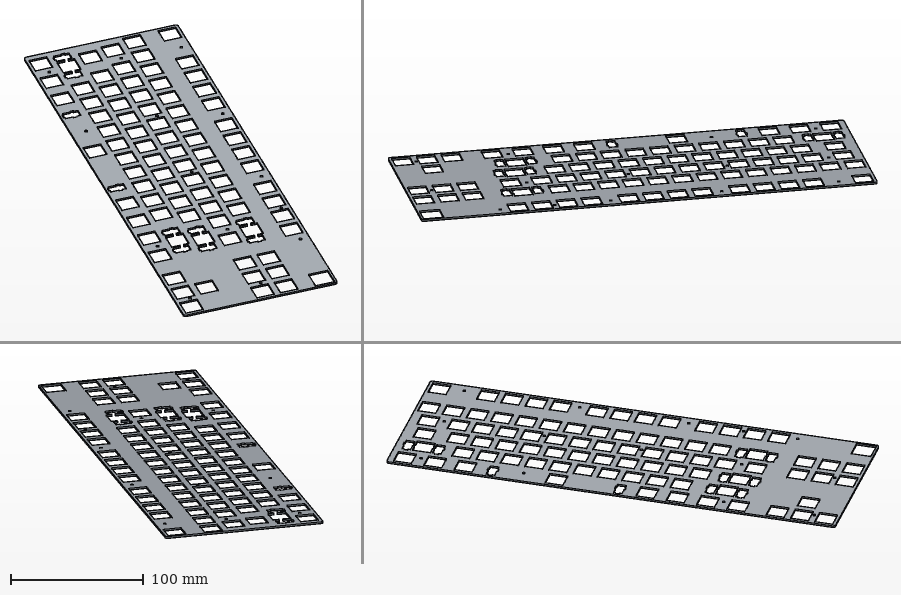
import cadquery as cq

plate_length = 351.5
plate_thickness = 1.5
corner_radius = 2.0

plate_columns = 18.5
plate_rows = 6.5
pitch = plate_length / plate_columns
plate_width = plate_rows * pitch

switch_size = 14.0

corner_opening_size = 15.5

stabilizer_width = 6.7
stabilizer_top = 5.5
stabilizer_bottom = -6.7
stabilizer_foot_width = 3.02
stabilizer_foot_bottom = -7.7
wire_slot_depth = 0.8
wire_slot_length = stabilizer_width + 2 * wire_slot_depth
wire_slot_top = 2.32
wire_slot_bottom = -0.5
wide_key_stabilizer_offset = 12.0
space_stabilizer_offset = 50.0
stabilized_cap_width = 2
space_cap_width = 6.25

number_row_caps = [1] * 13 + [2]
tab_row_caps = [1.5] + [1] * 12 + [1.5]
home_row_caps = [1.75] + [1] * 11 + [2.25]
shift_row_caps = [2.25] + [1] * 10 + [2.75]
bottom_row_caps = [1.25] * 3 + [space_cap_width] + [1.25] * 4
side_block_start = 15.5
function_row = 0.5
corner_opening_column = 18
rows = [
    (function_row, [(0, [1]), (2, [1] * 4), (6.5, [1] * 4), (11, [1] * 4)]),
    (2, [(0, number_row_caps), (side_block_start, [1] * 3)]),
    (3, [(0, tab_row_caps), (side_block_start, [1] * 3)]),
    (4, [(0, home_row_caps)]),
    (5, [(0, shift_row_caps), (side_block_start + 1, [1])]),
    (6, [(0, bottom_row_caps), (side_block_start, [1] * 3)]),
]

screw_diameter = 2.0
screw_lines = [
    (54.5, [28.5, 118.8, 204.2, 247.5, 289.5]),
    (7.0, [26.0, 104.5, 180.5, 259.0, 332.0]),
    (-50.0, [24.0, 104.5, 261.0, 332.0]),
]


def grid_point(column, row):
    """Plate position of a point given in pitches from the top-left corner."""
    return column * pitch - plate_length / 2, plate_width / 2 - row * pitch


def rectangle_cutter(left, right, bottom, top):
    """Block through the plate between the given sides."""
    corner = cq.Vector(left, bottom, 0)
    return cq.Solid.makeBox(right - left, top - bottom, plate_thickness, corner)


def square_cutter(x, y, size):
    """Square block through the plate, centred on a point."""
    return rectangle_cutter(x - size / 2, x + size / 2, y - size / 2, y + size / 2)


def stabilizer_cutters(x, y):
    """Housing, foot and wire slot of one stabilizer on the key centre line y."""
    spans = [
        (stabilizer_width, stabilizer_bottom, stabilizer_top),
        (stabilizer_foot_width, stabilizer_foot_bottom, stabilizer_bottom),
        (wire_slot_length, wire_slot_bottom, wire_slot_top),
    ]
    return [
        rectangle_cutter(x - length / 2, x + length / 2, y + bottom, y + top)
        for length, bottom, top in spans
    ]


def key_cutters(x, y, cap_width):
    """Switch cutout of one key, with a pair of stabilizers under a wide keycap."""
    cutters = [square_cutter(x, y, switch_size)]
    if cap_width < stabilized_cap_width:
        return cutters
    if cap_width == space_cap_width:
        offset = space_stabilizer_offset
    else:
        offset = wide_key_stabilizer_offset
        cutters.append(rectangle_cutter(x - offset, x + offset, y + wire_slot_bottom, y + wire_slot_top))
    for side in (-1, 1):
        cutters += stabilizer_cutters(x + side * offset, y)
    return cutters


plate = cq.Workplane("XY").box(plate_length, plate_width, plate_thickness, centered=(True, True, False))
plate = plate.edges("|Z").fillet(corner_radius)

cutters = []
for row, groups in rows:
    for column, cap_widths in groups:
        for cap_width in cap_widths:
            x, y = grid_point(column + cap_width / 2, row)
            cutters += key_cutters(x, y, cap_width)
            column += cap_width

x, y = grid_point(corner_opening_column, function_row)
cutters.append(square_cutter(x, y, corner_opening_size))

screw_points = [(x - plate_length / 2, y) for y, distances in screw_lines for x in distances]
screw_cutters = cq.Workplane("XY").pushPoints(screw_points).circle(screw_diameter / 2).extrude(plate_thickness)
cutters += screw_cutters.solids().vals()

result = plate.newObject([plate.val().cut(*cutters)]).clean()